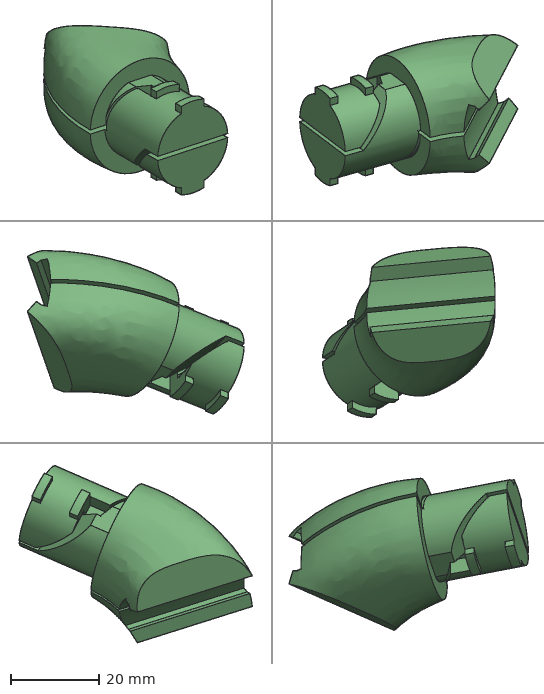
import cadquery as cq
import math

HEAD_DIAMETER = 28.0
HEAD_RADIUS = HEAD_DIAMETER / 2
END_HALF_WIDTH = 14.45
BEND_RADIUS = 37.65
BEND_ANGLE = 45.0
BEND_STEPS = 3
FACE_EXPONENT = 2.0
END_EXPONENT = 3.7
POINTS_PER_QUADRANT = 8

JAW_EDGE_OFFSET = 31.15
JAW_EDGE_HEIGHT = 8.1
LIP_DEPTH = 2.15
LIP_HEIGHT = 5.65
UNDERCUT_DEPTH = 3.2
UNDERCUT_HEIGHT = 6.55
WALL_DEPTH = 4.5
WALL_HEIGHT = 7.0
SLOT_DEPTH = 5.35

SHANK_RADIUS = 9.9
SHANK_LENGTH = 20.0

GAP = 1.05
HALF_GAP = GAP / 2
SIDE_GAP = 0.2
WEDGE_START = 4.25
WEDGE_SLOPE = 0.44
WEDGE_GAP = 0.7
DIAGONAL_START = 14.65
DIAGONAL_GAP = 1.7

TAB_RADIUS = 11.6
TAB_HALF_WIDTH = 3.25
TAB_LENGTH = 2.1
TAB_STARTS = (8.5, SHANK_LENGTH - TAB_LENGTH)
NOTCH_FLOOR = 4.75
FLAT_HEIGHT = 9.4

PIN_RADIUS = 1.5
PIN_CENTERS = ((-22.5, -4.3), (-11.95, 6.35))

REACH = 42.35


def half_turn(shape):
    """Turn a shape by 180 degrees about the shank axis."""
    return shape.rotate((0, 0, 0), (1, 0, 0), 180)


def block(x_range, y_range, z_range):
    sizes = [high - low for low, high in (x_range, y_range, z_range)]
    corner = (x_range[0], y_range[0], z_range[0])
    return cq.Workplane("XY").box(*sizes, centered=False).translate(corner)


def superellipse_wire(fraction):
    """Section of the elbow at a fraction of its bend."""
    angle = math.radians(BEND_ANGLE * fraction)
    exponent = FACE_EXPONENT + (END_EXPONENT - FACE_EXPONENT) * fraction
    half_width = HEAD_RADIUS + (END_HALF_WIDTH - HEAD_RADIUS) * fraction
    points = []
    for index in range(4 * POINTS_PER_QUADRANT):
        turn = math.pi / 2 * index / POINTS_PER_QUADRANT
        c = math.cos(turn)
        s = math.sin(turn)
        scale = 1 / (abs(c) ** exponent + abs(s) ** exponent) ** (1 / exponent)
        radius = BEND_RADIUS + half_width * scale * c
        x = -radius * math.sin(angle)
        y = BEND_RADIUS - radius * math.cos(angle)
        points.append(cq.Vector(x, y, HEAD_RADIUS * scale * s))
    return cq.Wire.assembleEdges([cq.Edge.makeSpline(points, periodic=True)])


def elbow_head():
    sections = [superellipse_wire(step / BEND_STEPS) for step in range(BEND_STEPS + 1)]
    elbow = cq.Workplane(obj=cq.Solid.makeLoft(sections))
    return elbow.cut(jaw_cutter())


def jaw_cutter():
    """Bevels the jaw end to two edges and cuts the undercut slot between them."""
    plane = cq.Plane(
        origin=(-JAW_EDGE_OFFSET / 2, JAW_EDGE_OFFSET / 2, 0), xDir=(1, -1, 0), normal=(-1, -1, 0)
    )
    side = [
        (REACH, JAW_EDGE_HEIGHT + REACH),
        (0, JAW_EDGE_HEIGHT),
        (LIP_DEPTH, LIP_HEIGHT),
        (UNDERCUT_DEPTH, UNDERCUT_HEIGHT),
        (WALL_DEPTH, WALL_HEIGHT),
    ]
    mirrored = [(depth, -height) for depth, height in reversed(side)]
    return (
        cq.Workplane(plane)
        .polyline(side)
        .threePointArc((SLOT_DEPTH, 0), mirrored[0])
        .polyline(mirrored, includeCurrent=False)
        .lineTo(-REACH, mirrored[-1][1])
        .lineTo(-REACH, side[0][1])
        .close()
        .extrude(REACH, both=True)
    )


def shank():
    """Cylinder with a flat on top and bottom ahead of the tabs."""
    cylinder = cq.Workplane("YZ").circle(SHANK_RADIUS).extrude(SHANK_LENGTH)
    return cylinder.cut(tab_flat()).cut(half_turn(tab_flat()))


def jaw_gap():
    """Flat gap between the jaws, ending on the slanting slots in the shank."""
    tip = WEDGE_START + WEDGE_GAP
    side_x = tip - WEDGE_SLOPE * SHANK_RADIUS
    return (
        cq.Workplane("XY", origin=(0, 0, -HALF_GAP))
        .polyline([
            (tip, 0),
            (side_x, SHANK_RADIUS),
            (side_x, REACH),
            (-REACH, REACH),
            (-REACH, -REACH),
            (side_x, -REACH),
            (side_x, -SHANK_RADIUS),
        ])
        .close()
        .extrude(GAP)
    )


def slanting_slot():
    """Slot across the upper -Y quarter of the shank."""
    side_x = WEDGE_START - WEDGE_SLOPE * SHANK_RADIUS
    return (
        cq.Workplane("XY", origin=(0, 0, -HALF_GAP))
        .polyline([
            (WEDGE_START, 0),
            (WEDGE_START + WEDGE_GAP, 0),
            (side_x + WEDGE_GAP, -SHANK_RADIUS),
            (side_x, -SHANK_RADIUS),
        ])
        .close()
        .extrude(HALF_GAP + SHANK_RADIUS)
        .intersect(block((0, REACH), (-REACH, REACH), (-REACH, REACH)))
    )


def diagonal_slot():
    """45 degree slot down the lower -Y quarter, joined to the flat gap at the shank end."""
    far_x = DIAGONAL_START + DIAGONAL_GAP
    return (
        cq.Workplane("XZ")
        .polyline([
            (DIAGONAL_START, 0),
            (DIAGONAL_START + HALF_GAP, HALF_GAP),
            (REACH, HALF_GAP),
            (REACH, -HALF_GAP),
            (far_x - HALF_GAP, -HALF_GAP),
            (far_x - SHANK_RADIUS, -SHANK_RADIUS),
            (DIAGONAL_START - SHANK_RADIUS, -SHANK_RADIUS),
        ])
        .close()
        .extrude(SHANK_RADIUS)
    )


def passing_gap():
    """Thin upright gap on the axis plane, from the slanting slots to the diagonal slots."""
    tip = DIAGONAL_START + DIAGONAL_GAP / 2
    height = tip - WEDGE_START
    return (
        cq.Workplane("XZ")
        .polyline([(WEDGE_START, -height), (tip, 0), (WEDGE_START, height)])
        .close()
        .extrude(SIDE_GAP / 2, both=True)
    )


def split_levers():
    """Return the plain lower-jaw and upper-jaw levers."""
    whole = elbow_head().union(shank()).cut(jaw_gap()).cut(passing_gap())
    for slot in (slanting_slot(), diagonal_slot()):
        whole = whole.cut(slot).cut(half_turn(slot))
    return whole.solids().sort(lambda solid: solid.Center().z).vals()


def tab_notch():
    return block((0, TAB_STARTS[0]), (-TAB_HALF_WIDTH, REACH), (NOTCH_FLOOR, REACH))


def tab_flat():
    return block((0, TAB_STARTS[0]), (-TAB_HALF_WIDTH, TAB_HALF_WIDTH), (FLAT_HEIGHT, REACH))


def bayonet_tabs():
    """Two tabs that stand on top of the shank."""
    tabs = cq.Workplane("XY")
    for start in TAB_STARTS:
        disc = cq.Workplane("YZ", origin=(start, 0, 0)).circle(TAB_RADIUS).extrude(TAB_LENGTH)
        bore = cq.Workplane("YZ", origin=(start, 0, 0)).circle(SHANK_RADIUS).extrude(TAB_LENGTH)
        strip = block((start, start + TAB_LENGTH), (-TAB_HALF_WIDTH, TAB_HALF_WIDTH), (0, REACH))
        tabs = tabs.add(disc.cut(bore).intersect(strip))
    return tabs.combine()


def stop_pins():
    """Pins that hang from the upper jaw and rest on the lower one."""
    return (
        cq.Workplane("XY", origin=(0, 0, -HALF_GAP))
        .pushPoints(PIN_CENTERS)
        .circle(PIN_RADIUS)
        .extrude(GAP)
    )


lower_blank, upper_blank = split_levers()

lower_lever = cq.Workplane(obj=lower_blank).cut(tab_notch()).union(bayonet_tabs())

upper_lever = (
    cq.Workplane(obj=upper_blank)
    .cut(half_turn(tab_notch()))
    .union(half_turn(bayonet_tabs()))
    .union(stop_pins())
)

result = cq.Compound.makeCompound([lower_lever.val(), upper_lever.val()])